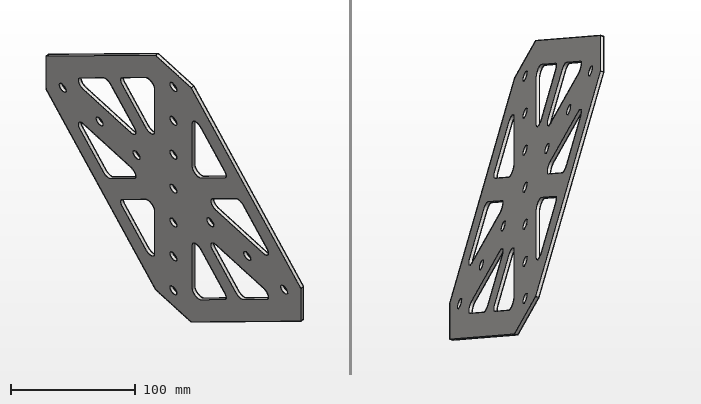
import cadquery as cq

plate_size = 311.0
thickness = 3.0
end_flat = 43.5

hole_diameter = 8.5
outer_hole_radius = 135.0
holes_per_arm = 3
hole_pitch = outer_hole_radius / holes_per_arm

arm_half_width = 23.0
rim_offset_sum = 147.7
rib_offset = 14.0
corner_radius = 6.2

half_size = plate_size / 2
half_flat = end_flat / 2


def make_plate():
    """Diamond with flattened corners, centred on the origin."""
    outline = [
        (half_flat, half_size),
        (half_size, half_flat),
        (half_size, -half_flat),
        (half_flat, -half_size),
        (-half_flat, -half_size),
        (-half_size, -half_flat),
        (-half_size, half_flat),
        (-half_flat, half_size),
    ]
    return cq.Workplane("XZ").polyline(outline).close().extrude(thickness / 2, both=True)


def make_hole_cutter():
    """Holes at the centre and at equal steps along both arms."""
    steps = [i * hole_pitch for i in range(-holes_per_arm, holes_per_arm + 1)]
    centres = [(x, 0) for x in steps] + [(0, z) for z in steps if z != 0]
    return (
        cq.Workplane("XZ")
        .pushPoints(centres)
        .circle(hole_diameter / 2)
        .extrude(thickness, both=True)
    )


def make_window():
    """Rounded right triangle beside the upper arm, in the +X +Z quadrant."""
    tip_x = (rim_offset_sum - rib_offset) / 2
    corners = [
        (arm_half_width, arm_half_width + rib_offset),
        (tip_x, tip_x + rib_offset),
        (arm_half_width, rim_offset_sum - arm_half_width),
    ]
    return (
        cq.Workplane("XZ")
        .polyline(corners)
        .close()
        .extrude(thickness, both=True)
        .edges("|Y")
        .fillet(corner_radius)
    )


result = make_plate().cut(make_hole_cutter())

window = make_window()
window_pair = [window, window.mirror("YZ")]
for quarter_turn in range(4):
    for cutter in window_pair:
        result = result.cut(cutter.rotate((0, 0, 0), (0, 1, 0), 90 * quarter_turn))